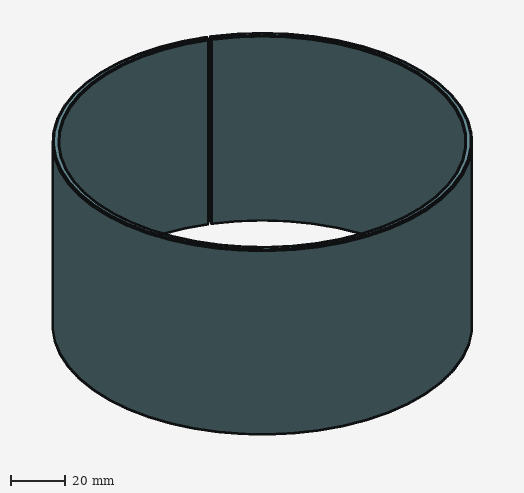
import cadquery as cq

outer_diameter = 155.0
wall = 2.5
height = 80.0
slit_width = 1.4
outer_chamfer = 0.5
inner_chamfer = 0.3

outer_radius = outer_diameter / 2
inner_radius = outer_radius - wall

sleeve = (
    cq.Workplane("XY")
    .circle(outer_radius)
    .circle(inner_radius)
    .extrude(height)
    .edges(cq.selectors.RadiusNthSelector(1))
    .chamfer(outer_chamfer)
    .edges(cq.selectors.RadiusNthSelector(0))
    .chamfer(inner_chamfer)
)

slit = (
    cq.Workplane("XY")
    .box(outer_radius, slit_width, height, centered=False)
    .translate((-outer_radius, 0, 0))
)

result = sleeve.cut(slit)